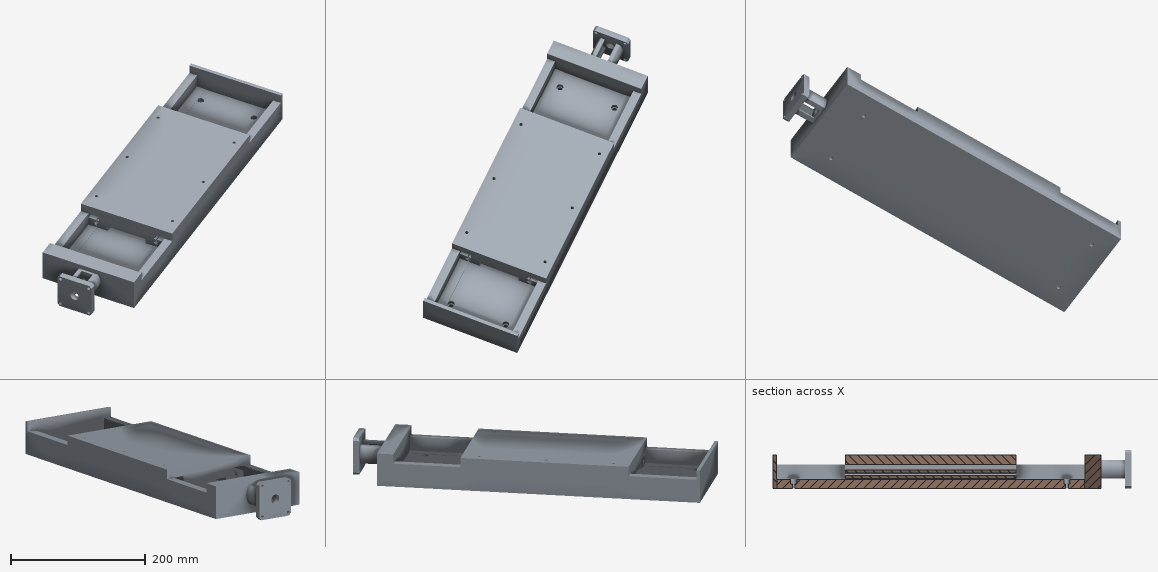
import cadquery as cq
import math

width = 152.5
length = 533.5
plate_height = 50.0

flange_side = 57.0
flange_thickness = 9.0
flange_chamfer = 4.0
motor_hole_pitch = 47.0
motor_hole_diameter = 5.0
pilot_diameter = 14.5
neck_length = 36.5
neck_diameter = 41.5
neck_height = 28.0
top_window_width = 18.5
bottom_window_width = 16.0
bore_diameter = 26.5
cavity_wall = 4.0

block_thickness = 24.5
end_plate_thickness = 5.5
base_height = 36.0
floor_thickness = 14.0
channel_width = 127.0
seat_inner_width = 98.0
seat_height = 0.5
base_hole_pitch_x = 88.5
base_hole_pitch_y = 406.5
base_hole_back_offset = 31.0
base_hole_diameter = 6.5
counterbore_diameter = 10.0
counterbore_depth = 6.5

table_length = 254.5
table_back_offset = 108.0
wing_thickness = 14.5
boss_width = 92.0
boss_bottom = 22.5
table_hole_pitch_x = 127.0
table_hole_pitch_y = 101.5
table_hole_diameter = 5.0

rail_height = 14.0
rail_gap = 1.5
inner_rail_width = 17.5
outer_rail_width = 13.0
groove_depth = 4.0

neck_start = flange_thickness
block_start = neck_start + neck_length
base_start = block_start + block_thickness
end_plate_start = length - end_plate_thickness
base_length = end_plate_start - base_start
cavity_length = neck_length - cavity_wall
axis_z = flange_side / 2
seat_z = floor_thickness + seat_height
rail_top = seat_z + rail_height
table_start = length - table_back_offset - table_length
table_center_y = table_start + table_length / 2
outer_rail_face = channel_width / 2 - outer_rail_width
inner_rail_face = outer_rail_face - rail_gap
inner_rail_back = inner_rail_face - inner_rail_width


def block(x_size, y_start, y_size, z_start, z_size):
    """Box centred on X = 0."""
    return (
        cq.Workplane("XY")
        .box(x_size, y_size, z_size, centered=(True, False, False))
        .translate((0, y_start, z_start))
    )


def cylinder_y(diameter, y_start, y_size):
    """Cylinder along +Y on the axis of the motor."""
    return cq.Workplane("XZ", origin=(0, y_start, axis_z)).circle(diameter / 2).extrude(-y_size)


def along_y(outline, y_start, y_size):
    """Prism along +Y from an outline of (x, z) points."""
    return cq.Workplane("XZ", origin=(0, y_start, 0)).polyline(outline).close().extrude(-y_size)


def base_holes(center_y, diameter, depth):
    """The four mounting holes at one diameter, cut down from the channel floor."""
    return (
        cq.Workplane("XY", origin=(0, center_y, floor_thickness))
        .rarray(base_hole_pitch_x, base_hole_pitch_y, 2, 2)
        .circle(diameter / 2)
        .extrude(-depth)
    )


def make_base():
    base = block(width, base_start, base_length, 0, base_height)
    base = base.cut(block(channel_width, base_start, base_length, seat_z, base_height))
    base = base.cut(block(seat_inner_width, base_start, base_length, floor_thickness, base_height))
    holes_center_y = length - base_hole_back_offset - base_hole_pitch_y / 2
    return (
        base.cut(base_holes(holes_center_y, base_hole_diameter, floor_thickness))
        .cut(base_holes(holes_center_y, counterbore_diameter, counterbore_depth))
    )


def make_table():
    table = block(width, table_start, table_length, base_height, wing_thickness)
    table = table.union(
        block(boss_width, table_start, table_length, boss_bottom, base_height - boss_bottom)
    )
    for side in (-1, 1):
        notch = block(boss_width, table_start, table_length, 0, rail_top)
        table = table.cut(notch.translate((side * (inner_rail_back + boss_width / 2), 0, 0)))
    holes = (
        cq.Workplane("XY", origin=(0, table_center_y, base_height))
        .rarray(table_hole_pitch_x, table_hole_pitch_y, 2, 3)
        .circle(table_hole_diameter / 2)
        .extrude(wing_thickness)
    )
    return table.cut(holes)


def make_rail(face_x, back_x):
    """Rail with its back at back_x and a V groove along the face at face_x."""
    groove_x = face_x + math.copysign(groove_depth, back_x - face_x)
    middle = seat_z + rail_height / 2
    outline = [
        (back_x, seat_z),
        (face_x, seat_z),
        (face_x, middle - groove_depth),
        (groove_x, middle),
        (face_x, middle + groove_depth),
        (face_x, rail_top),
        (back_x, rail_top),
    ]
    return along_y(outline, table_start, table_length)


def make_motor_mount():
    flange = (
        block(flange_side, 0, flange_thickness, 0, flange_side)
        .edges("|Y").chamfer(flange_chamfer)
        .faces("<Y").workplane(origin=(0, 0, axis_z))
        .rarray(motor_hole_pitch, motor_hole_pitch, 2, 2)
        .hole(motor_hole_diameter)
    )
    neck_bottom = axis_z - neck_height / 2
    neck = (
        cylinder_y(neck_diameter, neck_start, neck_length)
        .intersect(block(neck_diameter, neck_start, neck_length, neck_bottom, neck_height))
        .cut(cylinder_y(bore_diameter, neck_start, cavity_length))
        .cut(block(top_window_width, neck_start, cavity_length, axis_z, neck_height / 2))
        .cut(block(bottom_window_width, neck_start, cavity_length, neck_bottom, neck_height / 2))
    )
    return flange.union(neck).cut(cylinder_y(pilot_diameter, 0, block_start))


base = make_base()
end_plate = block(width, end_plate_start, end_plate_thickness, 0, plate_height)
bearing_block = block(width, block_start, block_thickness, 0, plate_height)
table = make_table()
motor_mount = make_motor_mount()
outer_rails = [make_rail(side * outer_rail_face, side * channel_width / 2) for side in (-1, 1)]
inner_rails = [make_rail(side * inner_rail_face, side * inner_rail_back) for side in (-1, 1)]

bodies = [base, end_plate, bearing_block, table, motor_mount, *outer_rails, *inner_rails]
result = cq.Compound.makeCompound([body.val() for body in bodies])